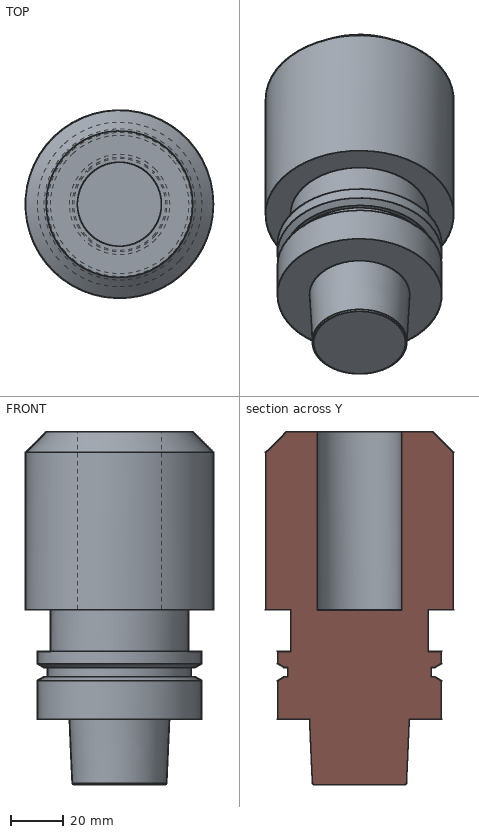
import cadquery as cq

total_height = 135.0
shank_length = 25.0
flange_height = 26.0
neck_height = 15.8
flange_top = shank_length + flange_height
body_bottom = flange_top + neck_height

body_diameter = 72.0
body_radius = body_diameter / 2
nose_chamfer = 8.0
bore_radius = 16.0
bore_depth = total_height - body_bottom

neck_radius = 26.5

flange_radius = 31.5
groove_lower_edge = shank_length + 14.8
groove_upper_edge = flange_top - 4.7
groove_flare_height = 1.5
groove_lip_radius = 28.9
groove_floor_radius = 27.5

shank_top_radius = 19.2
shank_end_radius = 18.1
shank_chamfer = 0.5


def revolve_profile(points):
    """Revolve a closed (radius, height) outline around the Z axis."""
    return cq.Workplane("XZ").polyline(points).close().revolve(360, (0, 0, 0), (0, 1, 0))


def cylinder(radius, bottom, height):
    return cq.Workplane("XY").workplane(offset=bottom).circle(radius).extrude(height)


def make_shank():
    return revolve_profile([
        (0, 0),
        (shank_end_radius - shank_chamfer, 0),
        (shank_end_radius, shank_chamfer),
        (shank_top_radius, shank_length),
        (0, shank_length),
    ])


def make_flange():
    lower_lip = groove_lower_edge + groove_flare_height
    upper_lip = groove_upper_edge - groove_flare_height
    return revolve_profile([
        (0, shank_length),
        (flange_radius, shank_length),
        (flange_radius, groove_lower_edge),
        (groove_lip_radius, lower_lip),
        (groove_floor_radius, lower_lip),
        (groove_floor_radius, upper_lip),
        (groove_lip_radius, upper_lip),
        (flange_radius, groove_upper_edge),
        (flange_radius, flange_top),
        (0, flange_top),
    ])


def make_body():
    body = cylinder(body_radius, body_bottom, total_height - body_bottom)
    return body.faces(">Z").edges().chamfer(nose_chamfer)


neck = cylinder(neck_radius, flange_top, neck_height)
bore = cylinder(bore_radius, total_height - bore_depth, bore_depth)

result = make_shank().union(make_flange()).union(neck).union(make_body()).cut(bore)